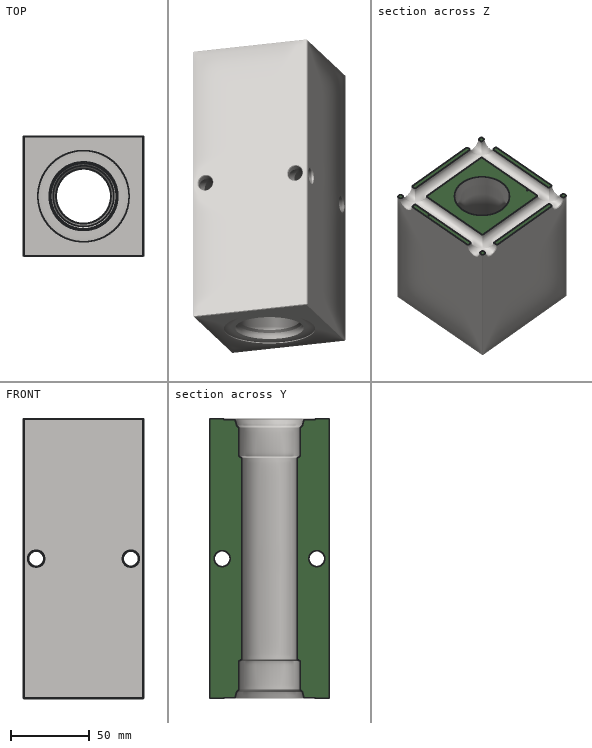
import cadquery as cq
import math

height = 177.8
width = 76.3
edge_chamfer = 0.45

bore_diameter = 34.7
spotface_diameter = 58.0
spotface_depth = 0.5
mouth_diameter = 43.5
seat_depth = 3.7
seat_taper_angle = 15.0
thread_diameter = 38.5
thread_chamfer_angle = 45.0
thread_depth = 23.8
thread_floor_angle = 59.0

hole_diameter = 9.8
hole_chamfer = 0.45
hole_offset = 30.0


def make_block():
    """Square bar centred on the origin, with every edge broken."""
    return cq.Workplane("XY").box(width, width, height).edges().chamfer(edge_chamfer)


def cone_length(start_radius, end_radius, half_angle):
    """Axial length of a cone narrowing between two radii at the given half angle."""
    return (start_radius - end_radius) / math.tan(math.radians(half_angle))


def make_port():
    """Cutter for the top port: spotface, tapered seal seat, lead-in, thread bore and conical floor."""
    top = height / 2
    spotface_radius = spotface_diameter / 2
    mouth_radius = mouth_diameter / 2
    thread_radius = thread_diameter / 2
    bore_radius = bore_diameter / 2
    floor = top - spotface_depth
    seat_end = floor - seat_depth
    seat_radius = mouth_radius - seat_depth * math.tan(math.radians(seat_taper_angle))
    thread_start = seat_end - cone_length(seat_radius, thread_radius, thread_chamfer_angle)
    thread_end = top - thread_depth
    port_end = thread_end - cone_length(thread_radius, bore_radius, thread_floor_angle)
    profile = [
        (0, top),
        (spotface_radius, top),
        (spotface_radius, floor),
        (mouth_radius, floor),
        (seat_radius, seat_end),
        (thread_radius, thread_start),
        (thread_radius, thread_end),
        (bore_radius, port_end),
        (0, port_end),
    ]
    return cq.Workplane("XZ").polyline(profile).close().revolve(360, (0, 0, 0), (0, 1, 0))


def make_mounting_hole(axis):
    """Cutter for one centred through hole along X or Y, chamfered at both mouths."""
    half_width = width / 2
    hole_radius = hole_diameter / 2
    mouth_radius = hole_radius + hole_chamfer
    shoulder = half_width - hole_chamfer
    profile = [
        (0, -half_width),
        (mouth_radius, -half_width),
        (hole_radius, -shoulder),
        (hole_radius, shoulder),
        (mouth_radius, half_width),
        (0, half_width),
    ]
    along_y = cq.Workplane("XY").polyline(profile).close().revolve(360, (0, 0, 0), (0, 1, 0))
    if axis == "X":
        return along_y.rotate((0, 0, 0), (0, 0, 1), 90)
    return along_y


bore = cq.Workplane("XY").circle(bore_diameter / 2).extrude(height, both=True)
port = make_port()

result = make_block().cut(bore)

for end_port in (port, port.mirror("XY")):
    result = result.cut(end_port)

for offset in (-hole_offset, hole_offset):
    result = result.cut(make_mounting_hole("X").translate((0, offset, 0)))
    result = result.cut(make_mounting_hole("Y").translate((offset, 0, 0)))